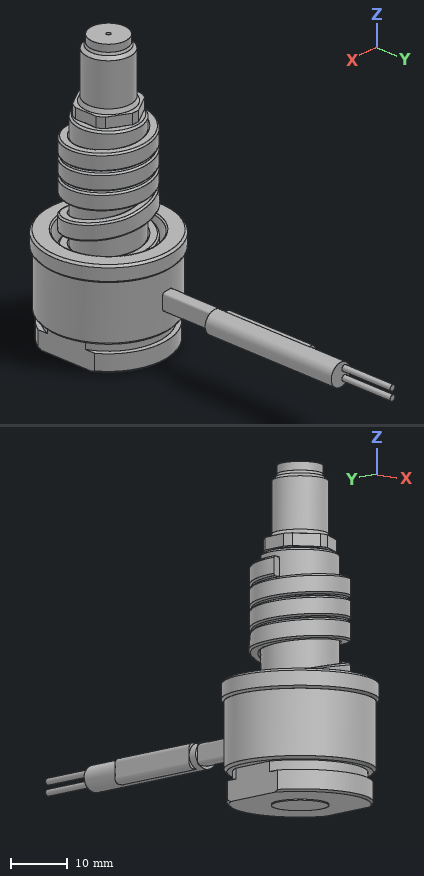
import cadquery as cq
import math

pad_radius = 5.1
pad_height = 0.2
nut_radius = 13.0
nut_top = 4.1
nut_chamfer = 0.4
nut_flat_offset = 11.1
nut_neck_radius = 12.0

body_bottom = 6.0
body_radius = 13.5
body_chamfer = 0.5
flange_bottom = 18.6
flange_top = 22.2
flange_radius = 14.0
flange_chamfer = 0.45
recess_floor = 8.0
recess_floor_radius = 9.6
recess_ledge = 10.0
recess_radius = 10.2
recess_chamfer = 0.3

tube_radius = 7.0
tube_top = 45.2
tube_chamfer = 0.4
hex_bottom = 45.6
hex_top = 47.9
hex_neck_radius = 5.35
hex_across_flats = 12.0
hex_corner_radius = 6.5
hex_turn = 30.0
nose_radius = 5.05
nose_bottom = 48.8
nose_root_radius = 5.5
nose_shoulder = 58.4
nose_chamfer = 0.35
step_radius = 4.35
step_height = 59.05
tip_radius = 4.1
tip_bottom = 59.6
tip_top = 61.2
tip_hole_diameter = 0.9
tip_hole_depth = 2.0

spring_outer_radius = 9.0
wire_height = 3.6
wire_chamfer = 0.35
wire_overlap = 0.05
spring_top = 43.6
spring_end_angle = 198.0
closed_pitch = 3.95
free_pitch = 11.5
upper_closed_turns = 3.08
free_turns = 0.75
ramp_turns = 0.25
points_per_turn = 16

cable_z = 12.55
cable_x = -0.75
cable_width = 2.7
cable_height = 3.9
cable_corner = 0.6
cable_start = 9.1
sleeve_diameter = 5.0
sleeve_start = 25.35
sleeve_end = 55.5
grip_start = 27.1
grip_end = 47.15
grip_width = 2.0
grip_height = 4.7
grip_corner = 1.0
lead_x = -0.97
lead_diameter = 1.3
lead_spacing = 2.0
lead_end = 67.0


def disc(radius, bottom, top):
    """Upright cylinder between two heights."""
    return cq.Workplane("XY").workplane(offset=bottom).circle(radius).extrude(top - bottom)


def make_nut():
    nut = disc(nut_radius, pad_height, nut_top).faces("<Z").edges().chamfer(nut_chamfer)
    nut = nut.union(disc(nut_neck_radius, nut_top, body_bottom))
    flats = cq.Workplane("XY").rect(2 * nut_flat_offset, 2 * nut_radius).extrude(body_bottom)
    return nut.intersect(flats).union(disc(pad_radius, 0, pad_height))


def make_cup():
    body = disc(body_radius, body_bottom, flange_bottom).faces("<Z").edges().chamfer(body_chamfer)
    flange = disc(flange_radius, flange_bottom, flange_top).edges().chamfer(flange_chamfer)
    recess = disc(recess_radius, recess_ledge, flange_top)
    recess = recess.union(disc(recess_floor_radius, recess_floor, recess_ledge))
    cup = body.union(flange).cut(recess)
    mouth_edge = cq.selectors.RadiusNthSelector(0)
    return cup.faces(">Z").edges(mouth_edge).chamfer(recess_chamfer)


def make_core():
    """Turned tube and nose, with the hexagon between them."""
    profile = [
        (0, recess_floor),
        (tube_radius, recess_floor),
        (tube_radius, tube_top - tube_chamfer),
        (tube_radius - tube_chamfer, tube_top),
        (hex_neck_radius, tube_top),
        (hex_neck_radius, hex_top),
        (nose_root_radius, hex_top),
        (nose_radius, nose_bottom),
        (nose_radius, nose_shoulder),
        (nose_radius - nose_chamfer, nose_shoulder + nose_chamfer),
        (step_radius, step_height),
        (tip_radius, tip_bottom),
        (tip_radius, tip_top),
        (0, tip_top),
    ]
    core = cq.Workplane("XZ").polyline(profile).close().revolve(360, (0, 0), (0, 1))
    hex_corner_diameter = hex_across_flats / math.cos(math.pi / 6)
    hexagon = (
        cq.Workplane("XY")
        .workplane(offset=hex_bottom)
        .transformed(rotate=(0, 0, hex_turn))
        .polygon(6, hex_corner_diameter)
        .extrude(hex_top - hex_bottom)
        .intersect(disc(hex_corner_radius, hex_bottom, hex_top))
    )
    hole = disc(tip_hole_diameter / 2, tip_top - tip_hole_depth, tip_top)
    return core.union(hexagon).cut(hole)


def spring_drop(turns):
    """Height lost over a number of turns down from the upper end of the wire."""
    extra_pitch = free_pitch - closed_pitch

    def ramped(length):
        if length <= 0:
            return 0
        if length < ramp_turns:
            return extra_pitch * length ** 2 / (2 * ramp_turns)
        return extra_pitch * (length - ramp_turns / 2)

    opening = ramped(turns - upper_closed_turns)
    closing = ramped(turns - upper_closed_turns - free_turns)
    return closed_pitch * turns + opening - closing


def make_spring():
    total_drop = spring_top - wire_height - recess_floor + wire_overlap
    free_drop = (free_pitch - closed_pitch) * free_turns
    total_turns = (total_drop - free_drop) / closed_pitch

    inner_radius = tube_radius - wire_overlap
    wire_width = spring_outer_radius - inner_radius
    mean_radius = (spring_outer_radius + inner_radius) / 2
    intervals = math.ceil(total_turns * points_per_turn)
    path_points = []
    for i in range(intervals + 1):
        turns = total_turns * i / intervals
        angle = math.radians(spring_end_angle) - 2 * math.pi * turns
        height = spring_top - wire_height / 2 - spring_drop(turns)
        path_points.append((mean_radius * math.cos(angle), mean_radius * math.sin(angle), height))
    path = cq.Workplane("XY").spline(path_points)

    end_angle = math.radians(spring_end_angle)
    radial = (math.cos(end_angle), math.sin(end_angle), 0)
    forward = (math.sin(end_angle), -math.cos(end_angle), 0)
    end_plane = cq.Plane(origin=path_points[0], xDir=radial, normal=forward)
    section = cq.Sketch().rect(wire_width, wire_height).vertices().chamfer(wire_chamfer)
    return cq.Workplane(end_plane).placeSketch(section).sweep(path, isFrenet=True)


def along_cable(x, z, start):
    """Workplane across the cable at a given Y, facing +Y, with its local X along -X."""
    plane = cq.Plane(origin=(x, start, z), xDir=(-1, 0, 0), normal=(0, 1, 0))
    return cq.Workplane(plane)


def make_cable():
    cable = along_cable(cable_x, cable_z, cable_start).rect(cable_width, cable_height)
    cable = cable.extrude(sleeve_start - cable_start).edges("|Y").fillet(cable_corner)
    sleeve = along_cable(0, cable_z, sleeve_start).circle(sleeve_diameter / 2)
    sleeve = sleeve.extrude(sleeve_end - sleeve_start)
    grip = along_cable((grip_width - sleeve_diameter) / 2, cable_z, grip_start)
    grip = grip.rect(grip_width, grip_height).extrude(grip_end - grip_start)
    grip = grip.edges("|Y and <X").fillet(grip_corner)
    cable = cable.union(sleeve).union(grip)
    for side in (-1, 1):
        lead = along_cable(lead_x, cable_z + side * lead_spacing / 2, sleeve_end)
        cable = cable.union(lead.circle(lead_diameter / 2).extrude(lead_end - sleeve_end))
    return cable


result = make_cup().union(make_nut()).union(make_core()).union(make_spring()).union(make_cable())